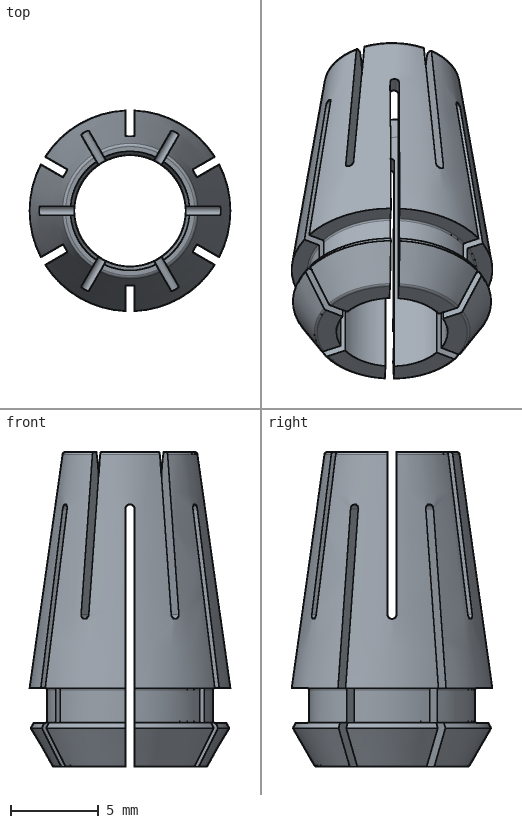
import cadquery as cq
import math

height = 18.0
cone_base_radius = 5.75
cone_base_z = 4.5
cone_half_angle = 8.0
nose_round = 0.18

flange_radius = 5.67
flange_edge_z = 2.21
flange_top_z = 2.52
flange_top_chamfer = 0.16
flange_half_angle = 30.0
foot_round = 0.18
groove_radius = 4.75
groove_corner_round = 0.09

bore_diameter = 6.35
mouth_radius = 3.4
mouth_depth = 1.44

slots_per_end = 6
slot_width = 0.5
slot_length = 2 * cone_base_radius
foot_slot_top_z = 15.0
nose_slot_bottom_z = 8.46
foot_slot_start_angle = 30.0
nose_slot_start_angle = 0.0

bore_radius = bore_diameter / 2
slot_pitch = 360.0 / slots_per_end
nose_radius = cone_base_radius - (height - cone_base_z) * math.tan(math.radians(cone_half_angle))
foot_radius = flange_radius - flange_edge_z * math.tan(math.radians(flange_half_angle))


def make_body():
    """Revolve the outer outline with its rounded groove corners, then round the nose and the foot."""
    groove_floor_bottom_z = flange_top_z + groove_corner_round
    groove_floor_top_z = cone_base_z - groove_corner_round
    body = (
        cq.Workplane("XZ")
        .lineTo(foot_radius, 0)
        .lineTo(flange_radius, flange_edge_z)
        .lineTo(flange_radius - flange_top_chamfer, flange_top_z)
        .lineTo(groove_radius + groove_corner_round, flange_top_z)
        .radiusArc((groove_radius, groove_floor_bottom_z), groove_corner_round)
        .lineTo(groove_radius, groove_floor_top_z)
        .radiusArc((groove_radius + groove_corner_round, cone_base_z), groove_corner_round)
        .lineTo(cone_base_radius, cone_base_z)
        .lineTo(nose_radius, height)
        .lineTo(0, height)
        .close()
        .revolve(360, (0, 0, 0), (0, 1, 0))
    )
    body = body.faces(">Z").edges().fillet(nose_round)
    return body.faces("<Z").edges().fillet(foot_round)


def make_bore():
    """Bore whose wall curves outward, tangent to the bore, up to the mouth."""
    flare = mouth_radius - bore_radius
    flare_start_z = height - mouth_depth
    return (
        cq.Workplane("XZ")
        .moveTo(0, 0)
        .lineTo(bore_radius, 0)
        .lineTo(bore_radius, flare_start_z)
        .tangentArcPoint((flare, mouth_depth), relative=True)
        .lineTo(0, height)
        .close()
        .revolve(360, (0, 0, 0), (0, 1, 0))
    )


def make_slot(open_z, rounded_end_z, angle):
    """Radial slot along one direction, from its open end to its round end."""
    half_width = slot_width / 2
    straight_end_z = rounded_end_z + math.copysign(half_width, open_z - rounded_end_z)
    return (
        cq.Workplane("YZ")
        .moveTo(-half_width, open_z)
        .lineTo(-half_width, straight_end_z)
        .threePointArc((0, rounded_end_z), (half_width, straight_end_z))
        .lineTo(half_width, open_z)
        .close()
        .extrude(slot_length)
        .rotate((0, 0, 0), (0, 0, 1), angle)
    )


result = make_body().cut(make_bore())
for index in range(slots_per_end):
    turn = index * slot_pitch
    result = result.cut(make_slot(0, foot_slot_top_z, foot_slot_start_angle + turn))
    result = result.cut(make_slot(height, nose_slot_bottom_z, nose_slot_start_angle + turn))